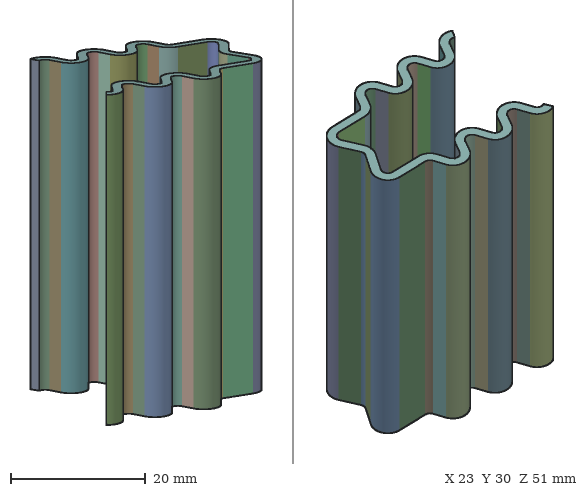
import cadquery as cq
import math

length = 51.0
overall_width = 23.0
overall_depth = 30.0

thickness = 1.55
inner_radius = 1.05
outer_radius = inner_radius + thickness
mid_radius = inner_radius + thickness / 2

shoulder_width = 14.9
dip_depth = 2.2
wave_pitch = 8.4
wave_count = 2
tip_angle = 28.0

shoulder_x = shoulder_width / 2 - outer_radius
crest_x = shoulder_x + 2 * mid_radius
valley_x = overall_width / 2 - outer_radius
tip_y = -overall_depth + outer_radius * math.sin(math.radians(tip_angle))
first_crest_y = tip_y + (wave_count + 0.5) * wave_pitch


def bend_centres():
    """Bend centres of the right half, from the middle dip to the free tip."""
    centres = [(0, inner_radius - dip_depth), (shoulder_x, -outer_radius)]
    for i in range(wave_count + 1):
        crest_y = first_crest_y - i * wave_pitch
        centres.append((crest_x, crest_y))
        centres.append((valley_x, crest_y - wave_pitch / 2))
    return centres


def bend_turn(index):
    """Bends alternate: +1 is counterclockwise, -1 is clockwise."""
    return 1 if index % 2 == 0 else -1


def path_headings(centres):
    """Start heading, heading of each straight between bends, and end heading."""
    headings = [0.0]
    for i, (start, end) in enumerate(zip(centres, centres[1:])):
        dx = end[0] - start[0]
        dy = end[1] - start[1]
        crossing = math.asin(2 * mid_radius / math.hypot(dx, dy))
        headings.append(math.atan2(dy, dx) + bend_turn(i) * crossing)
    headings.append(-math.radians(90 + tip_angle))
    return headings


def face_arcs(centres, headings, side):
    """Three-point arcs of one sheet face; side is +1 for left of the path, -1 for right."""
    arcs = []
    for i, (x, y) in enumerate(centres):
        turn = bend_turn(i)
        radius = mid_radius - turn * side * thickness / 2
        middle = (headings[i] + headings[i + 1]) / 2
        arcs.append([
            (x + turn * radius * math.sin(h), y - turn * radius * math.cos(h))
            for h in (headings[i], middle, headings[i + 1])
        ])
    return arcs


def half_profile():
    """Right half of the extrusion: out along one face and back along the other."""
    centres = bend_centres()
    headings = path_headings(centres)
    outward = face_arcs(centres, headings, 1)
    inward = [arc[::-1] for arc in reversed(face_arcs(centres, headings, -1))]
    sketch = cq.Workplane("XY").moveTo(*outward[0][0])
    for i, (start, middle, end) in enumerate(outward + inward):
        if i > 0:
            sketch = sketch.lineTo(*start)
        sketch = sketch.threePointArc(middle, end)
    return sketch.close().extrude(length)


right_half = half_profile()
result = right_half.union(right_half.mirror("YZ")).clean()